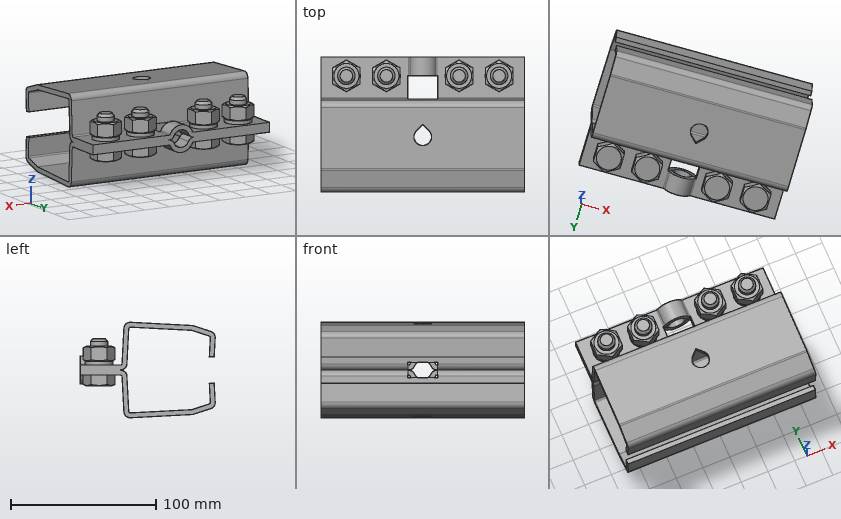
import cadquery as cq
import math


clamp_length = 140.0
sheet = 3.5
inner_bend_radius = 1.0
mid_bend_radius = inner_bend_radius + sheet / 2
wall_lean = 3.0
flange_straight = 27.7
wall_straight = 24.22
roof_straight = 42.15
slope_straight = 12.45
lip_straight = 13.2
slope_bend = 15.0

tube_bore_radius = 6.25
tube_outer_radius = tube_bore_radius + sheet
foot_x = math.sqrt((tube_outer_radius + inner_bend_radius) ** 2 - (sheet + inner_bend_radius) ** 2)
tube_length = 13.0
window_width = 20.3
window_height = 10.4
window_depth = 25.0

drop_radius = 6.0
drop_distance = 54.4
drop_base = 20.0
drop_depth = 20.0

bolt_positions = [-52.5, -25.0, 25.0, 52.5]
bolt_edge_distance = 13.0
bolt_radius = 6.0
bolt_tip_radius = 4.3
bolt_tip_chamfer = 2.0
bolt_top = 21.6
hex_flats = 19.0
hex_corners = hex_flats / math.cos(math.radians(30))
hex_face_radius = 8.6
hex_chamfer_angle = 25.0
head_height = 7.5
nut_height = 10.4
washer_radius = 9.6
washer_thickness = 2.5


def step(point, heading, distance):
    """Point reached by moving a distance along a heading in degrees."""
    angle = math.radians(heading)
    return (point[0] + distance * math.cos(angle), point[1] + distance * math.sin(angle))


def bent_sheet():
    """Upper half: a strip followed bend by bend from the rear edge of the flange to the lip."""
    straights = [flange_straight, wall_straight, roof_straight, slope_straight, lip_straight]
    bends = [90 - wall_lean, -90.0, -slope_bend, slope_bend - 90]
    point = (0.0, sheet / 2)
    heading = 0.0
    left = [step(point, 90, sheet / 2)]
    right = [step(point, -90, sheet / 2)]
    left_arcs = []
    right_arcs = []
    for straight, bend in zip(straights, bends):
        turn = math.copysign(1, bend)
        point = step(point, heading, straight)
        centre = step(point, heading + 90 * turn, mid_bend_radius)
        left_radius = mid_bend_radius - turn * sheet / 2
        right_radius = mid_bend_radius + turn * sheet / 2
        start, middle, end = [heading - 90 * turn + bend * part for part in (0, 0.5, 1)]
        left += [step(centre, start, left_radius), step(centre, end, left_radius)]
        right += [step(centre, start, right_radius), step(centre, end, right_radius)]
        left_arcs.append(step(centre, middle, left_radius))
        right_arcs.append(step(centre, middle, right_radius))
        heading += bend
        point = step(centre, end, mid_bend_radius)
    tip = step(point, heading, straights[-1])
    left.append(step(tip, heading + 90, sheet / 2))
    right.append(step(tip, heading - 90, sheet / 2))

    plane = cq.Plane(origin=(clamp_length / 2, 0, 0), xDir=(0, -1, 0), normal=(-1, 0, 0))
    outline = cq.Workplane(plane).moveTo(*left[0])
    for bend in range(len(bends)):
        outline = outline.lineTo(*left[2 * bend + 1])
        outline = outline.threePointArc(left_arcs[bend], left[2 * bend + 2])
    outline = outline.lineTo(*left[-1]).lineTo(*right[-1])
    for bend in reversed(range(len(bends))):
        outline = outline.lineTo(*right[2 * bend + 2])
        outline = outline.threePointArc(right_arcs[bend], right[2 * bend + 1])
    return outline.lineTo(*right[0]).close().extrude(clamp_length)


def block(width, length, height, rear):
    """Box centred on X = 0 and Z = 0, running forward (-Y) from its rear face."""
    return cq.Workplane("XY").box(width, length, height).translate((0, rear - length / 2, 0))


def half_tube():
    """Half-tube above the joint plane, blended into the flange like the other bends."""
    foot_radius = sheet + inner_bend_radius
    reach = tube_bore_radius + foot_radius
    touch = tube_bore_radius / reach
    crest = tube_outer_radius / reach
    middle = math.radians(270) - math.acos(foot_radius / reach) / 2
    arc_x = foot_x + foot_radius * math.cos(middle)
    arc_z = foot_radius + foot_radius * math.sin(middle)
    bend_x = foot_x + inner_bend_radius * math.cos(middle)
    bend_z = foot_radius + inner_bend_radius * math.sin(middle)
    return (
        cq.Workplane("XZ")
        .moveTo(foot_x, 0)
        .lineTo(foot_x, sheet)
        .threePointArc((bend_x, bend_z), (foot_x * crest, foot_radius * crest))
        .threePointArc((0, tube_outer_radius), (-foot_x * crest, foot_radius * crest))
        .threePointArc((-bend_x, bend_z), (-foot_x, sheet))
        .lineTo(-foot_x, 0)
        .threePointArc((-arc_x, arc_z), (-foot_x * touch, foot_radius * touch))
        .threePointArc((0, tube_bore_radius), (foot_x * touch, foot_radius * touch))
        .threePointArc((arc_x, arc_z), (foot_x, 0))
        .close()
        .extrude(tube_length)
    )


def roof_hole():
    """Drop-shaped cutter, square to the leaning roof, pointed towards the rear."""
    half = drop_radius * math.sqrt(0.5)
    lean = math.radians(wall_lean)
    plane = cq.Plane(
        origin=(0, -drop_distance, drop_base),
        xDir=(1, 0, 0),
        normal=(0, -math.sin(lean), math.cos(lean)),
    )
    return (
        cq.Workplane(plane)
        .moveTo(0, 2 * half)
        .lineTo(-half, half)
        .threePointArc((0, -drop_radius), (half, half))
        .close()
        .extrude(drop_depth)
    )


def hexagon(height, both_ends):
    """Hexagonal prism standing on Z = 0, chamfered to a cone at the top or at both ends."""
    rim = hex_corners / 2
    chamfer_drop = (rim - hex_face_radius) * math.tan(math.radians(hex_chamfer_angle))
    envelope = cq.Workplane("XZ").moveTo(0, 0)
    if both_ends:
        envelope = envelope.lineTo(hex_face_radius, 0).lineTo(rim, chamfer_drop)
    else:
        envelope = envelope.lineTo(rim, 0)
    envelope = (
        envelope.lineTo(rim, height - chamfer_drop)
        .lineTo(hex_face_radius, height)
        .lineTo(0, height)
        .close()
        .revolve(360, (0, 0, 0), (0, 1, 0))
    )
    prism = cq.Workplane("XY").polygon(6, hex_corners).extrude(height)
    return prism.rotate((0, 0, 0), (0, 0, 1), 30).intersect(envelope)


def bolt():
    """Bolt on the Z axis, with its head under the flange, a washer and a nut above it."""
    shank = (
        cq.Workplane("XY", origin=(0, 0, -sheet))
        .circle(bolt_radius)
        .extrude(bolt_top + sheet)
        .faces(">Z")
        .chamfer(bolt_tip_chamfer, bolt_radius - bolt_tip_radius)
    )
    head = hexagon(head_height, both_ends=False).mirror("XY").translate((0, 0, -sheet))
    washer = cq.Workplane("XY", origin=(0, 0, sheet)).circle(washer_radius).extrude(washer_thickness)
    nut = hexagon(nut_height, both_ends=True).translate((0, 0, sheet + washer_thickness))
    return shank.union(head).union(washer).union(nut)


def clamp_half():
    """Upper sheet with its window, half-tube and drop-shaped hole."""
    half = bent_sheet()
    half = half.cut(block(window_width, window_depth, window_height, -tube_length))
    half = half.cut(block(2 * foot_x, tube_length, window_height, 0.0))
    return half.union(half_tube()).cut(roof_hole())


upper = clamp_half()
result = upper.union(upper.mirror("XY"))
for x in bolt_positions:
    result = result.union(bolt().translate((x, -bolt_edge_distance, 0)))